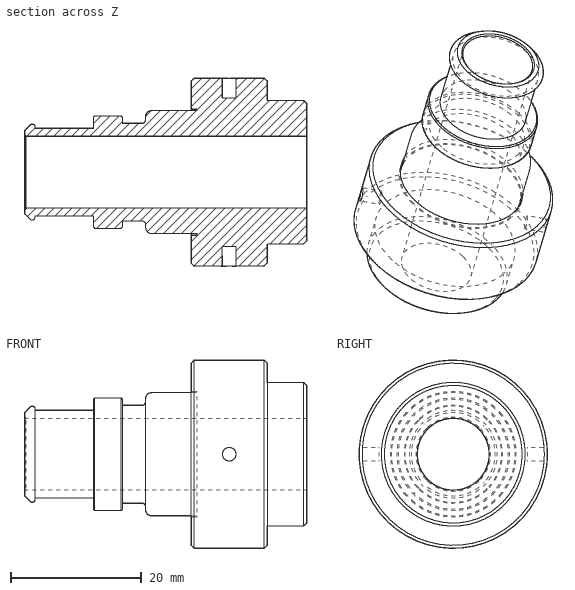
import cadquery as cq
import math

LENGTH = 43.15
BORE_RADIUS = 5.5
BORE_CHAMFER = 0.2

LIP_END = 1.6
LIP_CREST_RADIUS = 7.38
LIP_ROUND = 0.45
TUBE_RADIUS = 6.75

COLLAR_START = 10.5
COLLAR_END = 14.95
COLLAR_RADIUS = 8.63
COLLAR_CHAMFER = 0.2

NECK_RADIUS = 7.5
BODY_START = 18.45
BODY_RADIUS = 9.45
NECK_FILLET = 0.5
BODY_FILLET = 1.0

FLANGE_START = 25.45
FLANGE_END = 37.1
FLANGE_RADIUS = 14.4
TAIL_RADIUS = 11.0
RIM_CHAMFER = 0.47

CLEARANCE_RADIUS = 9.6
CLEARANCE_DEPTH = 0.85

SIDE_HOLE_RADIUS = 1.05
SIDE_HOLE_DEPTH = 3.0


def disc(start, end, radius):
    """Solid cylinder along X between two stations."""
    return cq.Workplane("YZ", origin=(start, 0, 0)).circle(radius).extrude(end - start)


def hose_lip():
    """Lip with a 45 degree conical lead-in, a rounded crest and a square back."""
    round_x = LIP_END - LIP_ROUND
    round_height = LIP_CREST_RADIUS - LIP_ROUND
    tangent_offset = LIP_ROUND * math.sqrt(0.5)
    cone_end = round_x - tangent_offset
    cone_top = round_height + tangent_offset
    return (
        cq.Workplane("XY")
        .lineTo(0, cone_top - cone_end)
        .lineTo(cone_end, cone_top)
        .threePointArc((round_x, LIP_CREST_RADIUS), (LIP_END, round_height))
        .lineTo(LIP_END, 0)
        .close()
        .revolve(360, (0, 0, 0), (1, 0, 0))
    )


def neck_and_body():
    """Neck blending into the wider body through a fillet and a rounded shoulder."""
    neck = disc(COLLAR_END, BODY_START, NECK_RADIUS)
    body = disc(BODY_START, FLANGE_START, BODY_RADIUS).faces("<X").edges().fillet(BODY_FILLET)
    inner_corner = cq.selectors.RadiusNthSelector(0)
    return neck.union(body).faces(">X[-2]").edges(inner_corner).fillet(NECK_FILLET)


def clearance_groove():
    """Ring cutter that separates the flange face from the body."""
    groove_end = FLANGE_START + CLEARANCE_DEPTH
    return disc(FLANGE_START, groove_end, CLEARANCE_RADIUS).cut(disc(FLANGE_START, groove_end, BODY_RADIUS))


def side_hole(side):
    """Radial hole cutter on the +Y (side = 1) or -Y (side = -1) flank of the flange."""
    middle = (FLANGE_START + FLANGE_END) / 2
    start = cq.Vector(middle, side * (FLANGE_RADIUS - SIDE_HOLE_DEPTH), 0)
    outward = cq.Vector(0, side, 0)
    return cq.Solid.makeCylinder(SIDE_HOLE_RADIUS, 2 * SIDE_HOLE_DEPTH, start, outward)


tube = disc(LIP_END, COLLAR_START, TUBE_RADIUS)
collar = disc(COLLAR_START, COLLAR_END, COLLAR_RADIUS).edges().chamfer(COLLAR_CHAMFER)
flange = disc(FLANGE_START, FLANGE_END, FLANGE_RADIUS).edges().chamfer(RIM_CHAMFER)
tail = disc(FLANGE_END, LENGTH, TAIL_RADIUS).faces(">X").edges().chamfer(RIM_CHAMFER)

result = hose_lip()
for section in (tube, collar, neck_and_body(), flange, tail):
    result = result.union(section)

bore = disc(0, LENGTH, BORE_RADIUS)
result = result.cut(bore)
result = result.faces("<X").edges(cq.selectors.RadiusNthSelector(0)).chamfer(BORE_CHAMFER)
result = result.cut(clearance_groove())
for side in (-1, 1):
    result = result.cut(cq.Workplane(side_hole(side)))